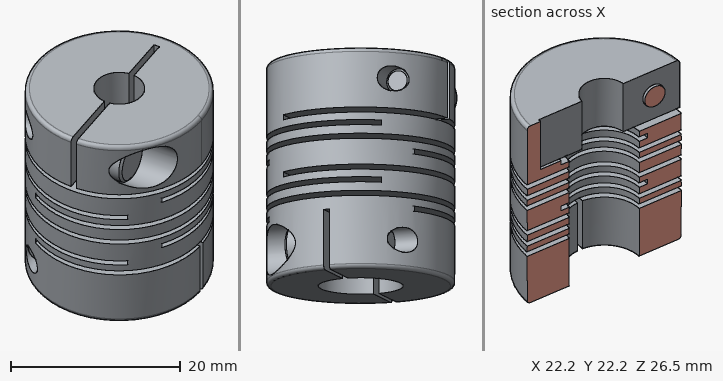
import cadquery as cq


length = 26.5
outer_radius = 11.1
rim_fillet = 0.5
small_bore_radius = 3.0
large_bore_radius = 5.0
hub_height = 7.18
reach = outer_radius + 2.65

slit_width = 0.6
slit_overreach = 6.2
pair_pitch = 1.5
turn_pitch = 1.65
slit_group_pitch = 2 * pair_pitch + turn_pitch
slit_stack = length - 2 * hub_height - slit_width
second_group_drop = slit_stack - slit_group_pitch

clamp_slot_width = 0.72
clamp_slot_end = 9.15

screw_height = 3.6
screw_offset = 7.3
screw_radius = 3.0 / 2
tip_chamfer = 0.3
head_radius = 2.75
head_chamfer = 0.3
head_length = 3.0
head_end = 5.78
counterbore_radius = 2.97
screw_tip = -6.7
head_seat = head_end - head_length


def upright_box(x_min, x_max, y_min, y_max, z_min, z_max):
    size = (x_max - x_min, y_max - y_min, z_max - z_min)
    return cq.Workplane("XY").box(*size, centered=False).translate((x_min, y_min, z_min))


def rod(radius, start, end):
    """Round rod along X between two X positions."""
    return cq.Workplane("YZ").workplane(offset=start).circle(radius).extrude(end - start)


def make_sleeve():
    sleeve = cq.Workplane("XY").circle(outer_radius).extrude(length)
    sleeve = sleeve.faces("<Z or >Z").edges().fillet(rim_fillet)
    upper_bore = cq.Workplane("XY").circle(small_bore_radius).extrude(length)
    lower_bore = cq.Workplane("XY").circle(large_bore_radius).extrude(length - hub_height)
    return sleeve.cut(upper_bore).cut(lower_bore)


def make_slit(top, open_angle):
    """Cross slit with its upper face at height top, open towards open_angle about Z."""
    slit = upright_box(-slit_overreach, reach, -reach, reach, top - slit_width, top)
    return slit.rotate((0, 0, 0), (0, 0, 1), open_angle)


def cut_slits(body):
    first_top = length - hub_height
    turned_drop = pair_pitch + turn_pitch
    for group_top in (first_top, first_top - second_group_drop):
        body = body.cut(make_slit(group_top, -90))
        body = body.cut(make_slit(group_top - pair_pitch, 90))
        body = body.cut(make_slit(group_top - turned_drop, 180))
        body = body.cut(make_slit(group_top - turned_drop - pair_pitch, 0))
    return body


def cut_clamp_slots(body):
    """The upper slot opens towards -Y only, the lower one runs right across along X."""
    half = clamp_slot_width / 2
    upper_slot = upright_box(-half, half, -reach, clamp_slot_end, length - hub_height, length)
    lower_slot = upright_box(-reach, reach, -half, half, 0, hub_height)
    return body.cut(upper_slot).cut(lower_slot)


def place_in_upper_hub(tool):
    return tool.translate((0, -screw_offset, length - screw_height))


def place_in_lower_hub(tool):
    """Turn the upper hub's arrangement half a turn about the horizontal X = Y diagonal."""
    middle = length / 2
    return place_in_upper_hub(tool).rotate((0, 0, middle), (0.26, 0.26, middle), 180)


def make_screw_hole():
    return rod(screw_radius, -reach, reach).union(rod(counterbore_radius, head_seat, reach))


def make_screw():
    shank = rod(screw_radius, screw_tip, head_seat).faces("<X").chamfer(tip_chamfer)
    head = rod(head_radius, head_seat, head_end).faces(">X").chamfer(head_chamfer)
    return shank.union(head)


result = cut_clamp_slots(cut_slits(make_sleeve()))
for place in (place_in_upper_hub, place_in_lower_hub):
    result = result.cut(place(make_screw_hole())).union(place(make_screw()))